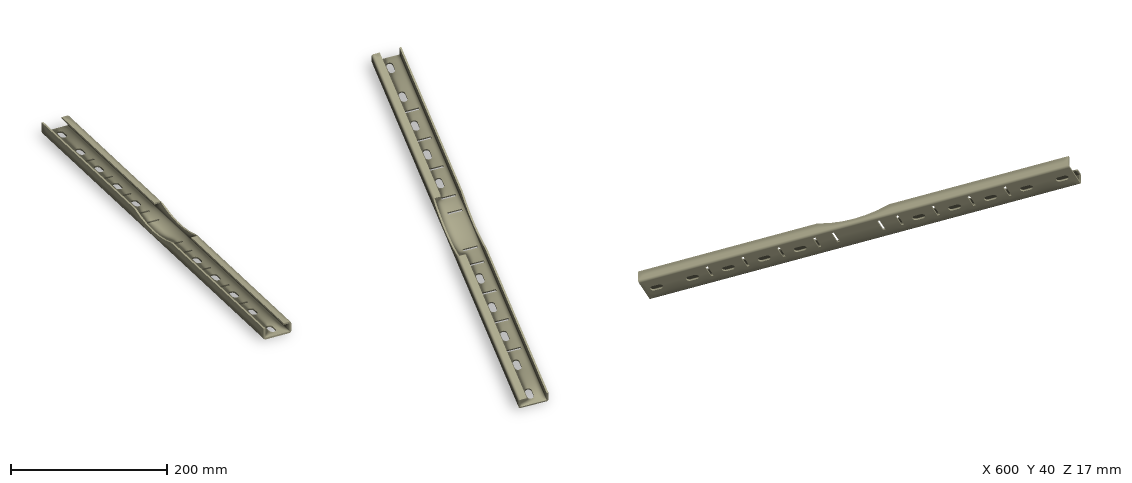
import cadquery as cq

length = 600.0
width = 40.0
height = 17.0
sheet = 2.5
outer_bend = 3.0
inner_bend = outer_bend - sheet
lip_edge_y = 9.0

relief_length = 100.0
relief_depth = 8.5

slot_length = 17.5
slot_width = 9.0
slot_pitch = length / 12
slot_end_gap = 17.5
slots_per_side = 5

cross_slot_width = 3.5
cross_slot_length = 20.0
cross_slot_y = -3.5
inner_cross_slot_x = 32.0


def make_channel():
    """Bent-sheet profile swept along X: floor, two walls and a lip on the +Y wall."""
    block = cq.Workplane("XY").box(length, width, height, centered=(True, True, False))
    outside = block.edges("|X and <Z").fillet(outer_bend)
    outside = outside.edges("|X and >Z and >Y").fillet(outer_bend)

    inside_width = width - 2 * sheet
    inside_height = height - 2 * sheet
    inside = (
        cq.Workplane("XY")
        .box(length, inside_width, inside_height, centered=(True, True, False))
        .edges("|X and (<Z or >Y)")
        .fillet(inner_bend)
        .translate((0, 0, sheet))
    )
    mouth_start = -width / 2 + sheet
    mouth_width = lip_edge_y - mouth_start
    mouth = (
        cq.Workplane("XY")
        .box(length, mouth_width, height / 2, centered=(True, False, False))
        .translate((0, mouth_start, height / 2))
    )
    return outside.cut(inside).cut(mouth)


def make_relief():
    """Lip gap between the walls, joined with the arc that dips both wall tops."""
    half_relief = relief_length / 2
    lip_gap = (
        cq.Workplane("XY")
        .box(relief_length, width - 2 * sheet, height / 2, centered=(True, True, False))
        .translate((0, 0, height / 2))
    )
    wall_dip = (
        cq.Workplane("XZ")
        .moveTo(-half_relief, height)
        .threePointArc((0, height - relief_depth), (half_relief, height))
        .close()
        .extrude(width / 2, both=True)
    )
    return lip_gap.union(wall_dip)


def make_floor_slots():
    """Cutters for the round-ended slots and the cross slots."""
    outer_slot_x = length / 2 - slot_end_gap
    slot_x = [outer_slot_x - i * slot_pitch for i in range(slots_per_side)]
    cross_x = [x - slot_pitch / 2 for x in slot_x[1:]]
    cross_x.append(inner_cross_slot_x)

    slot_points = [(side * x, 0) for side in (-1, 1) for x in slot_x]
    cross_points = [(side * x, cross_slot_y) for side in (-1, 1) for x in cross_x]
    slots = (
        cq.Workplane("XY")
        .pushPoints(slot_points)
        .slot2D(slot_length, slot_width)
        .extrude(2 * sheet)
    )
    cross_slots = (
        cq.Workplane("XY")
        .pushPoints(cross_points)
        .rect(cross_slot_width, cross_slot_length)
        .extrude(2 * sheet)
    )
    return slots.union(cross_slots)


result = make_channel().cut(make_relief()).cut(make_floor_slots())